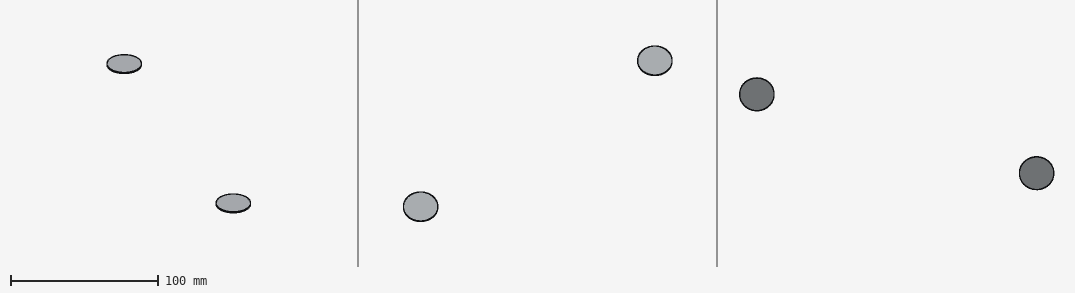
import cadquery as cq

overall_length = 221.5
disc_diameter = 23.5
disc_thickness = 1.0

disc_offset = (overall_length - disc_diameter) / 2


def make_disc(center_x):
    """Thin flat disc with a vertical axis, centred at center_x on the X axis."""
    return (
        cq.Workplane("XY")
        .center(center_x, 0)
        .circle(disc_diameter / 2)
        .extrude(disc_thickness / 2, both=True)
    )


discs = [make_disc(side * disc_offset) for side in (-1, 1)]

result = cq.Compound.makeCompound([disc.val() for disc in discs])